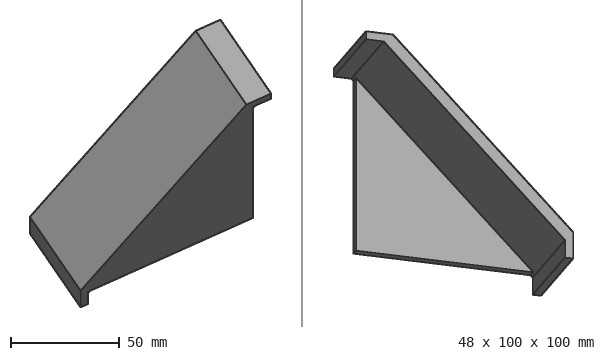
import cadquery as cq
import math

width = 48.0
side = 100.0
lip_length = 13.0
lip_thickness = 4.0
slope_thickness = 6.0
web_inset = 9.5
web_thickness = 4.0

outer_offset = lip_length
inner_offset = outer_offset - slope_thickness * math.sqrt(2)


def extrude_profile(points, x_start, thickness):
    """Extrude a closed YZ outline along +X from x_start."""
    plane = cq.Workplane("YZ", origin=(x_start, 0, 0))
    return plane.polyline(points).close().extrude(thickness)


def make_strap():
    """Sloped 45 degree strap with a vertical lower lip and a horizontal upper lip."""
    upper_lip_bottom = side - lip_thickness
    outline = [
        (0, 0),
        (0, lip_length),
        (side - lip_length, side),
        (side, side),
        (side, upper_lip_bottom),
        (upper_lip_bottom - inner_offset, upper_lip_bottom),
        (lip_thickness, lip_thickness + inner_offset),
        (lip_thickness, 0),
    ]
    return extrude_profile(outline, 0, width)


def make_web():
    """Triangular web closing the +X end, its long edge on the strap's inner face."""
    back = side - web_inset
    outline = [
        (web_inset - inner_offset, web_inset),
        (back, back + inner_offset),
        (back, web_inset),
    ]
    return extrude_profile(outline, width - web_thickness, web_thickness)


result = make_strap().union(make_web())